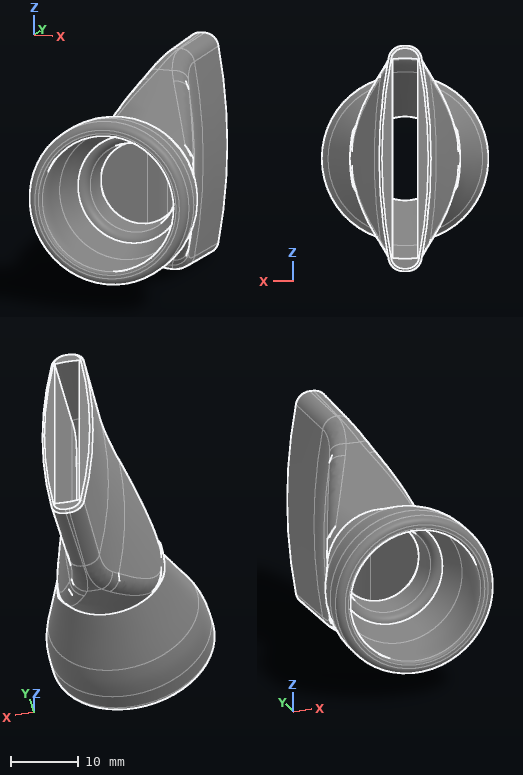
import cadquery as cq
import math

length = 47.2

socket_radius = 12.4
socket_center_y = 3.5
shell_end_y = 8.15
rim_round = 1.15
seat_radius = 10.7
mouth_round = 0.45
seat_end_y = 7.65
throat_start_y = 11.42
throat_start_radius = 8.15
throat_round = 1.4

neck_y = 16.6
neck_radius = 8.2
bore_radius = 6.25

bend_end_y = 35.4
bend_start_y = 28.33
thin_bend_half = 4.65
thin_half = 3.7
tip_thin_half = 3.85
tall_bend_half = 14.82
tall_half = 16.65
tip_tall_half = 16.8
bow_radius = 81.2
edge_round = 2.25
round_start_y = 17.65
tip_chamfer = 0.42
wall = 1.9
slot_half = 1.9


def ball_radius_at(ball_radius, y):
    """Radius of the ball's cross-section at a place along Y."""
    return math.sqrt(ball_radius**2 - (y - socket_center_y) ** 2)


def bend_middle(start, end, start_slope):
    """Middle point of an arc that leaves start with the given slope and reaches end."""
    run = end[1] - start[1]
    rise = end[0] - start[0]
    chord = math.hypot(run, rise)
    turn = math.atan2(rise, run) - math.atan(start_slope)
    sagitta = chord / 2 * math.tan(turn / 2)
    middle_y = (start[1] + end[1]) / 2
    middle_half = (start[0] + end[0]) / 2
    return (middle_half - sagitta * run / chord, middle_y + sagitta * rise / chord)


def flare_profile(axis_x, neck_half, start, end, tip_half):
    """Half outline from the neck to the tip: slanted line, bend, straight run."""
    slope = (start[0] - neck_half) / (start[1] - neck_y)
    return (
        cq.Workplane("XY")
        .moveTo(axis_x, neck_y)
        .lineTo(neck_half, neck_y)
        .lineTo(*start)
        .threePointArc(bend_middle(start, end, slope), end)
        .lineTo(tip_half, length)
        .lineTo(axis_x, length)
        .close()
    )


def turned(profile, axis_x=0.0):
    return profile.revolve(360, (axis_x, 0, 0), (axis_x, 1, 0))


def bowed_side():
    """Body bounded on +X by a broad face that is bowed about an axis parallel to Y."""
    axis_x = tip_thin_half - bow_radius
    bend_start = (thin_bend_half, bend_start_y)
    bend_end = (thin_half, bend_end_y)
    return turned(flare_profile(axis_x, neck_radius, bend_start, bend_end, tip_thin_half), axis_x)


def block_from(y):
    """Large block that starts at a place along Y and reaches past the tip."""
    return cq.Workplane("XY").box(length, length, length).translate((0, y + length / 2, 0))


def nozzle_outside():
    """Turned flare flattened by the bowed faces, with its long edges rounded past the neck."""
    bend_start = (tall_bend_half, bend_start_y)
    bend_end = (tall_half, bend_end_y)
    tall = turned(flare_profile(0, neck_radius, bend_start, bend_end, tip_tall_half))
    side = bowed_side()
    sharp = tall.intersect(side).intersect(side.mirror("YZ"))
    rounded = sharp.intersect(block_from(round_start_y))
    long_edges = [
        edge
        for edge in rounded.edges().vals()
        if edge.BoundingBox().ylen > edge_round and abs(edge.Center().x) > tip_chamfer
    ]
    rounded = rounded.newObject(long_edges).fillet(edge_round)
    rounded = rounded.faces(">Y").edges().chamfer(tip_chamfer)
    return sharp.cut(block_from(round_start_y)).union(rounded)


def nozzle_slot():
    """Flat-sided void that follows the nozzle one wall thickness inside it."""
    bend_start = (tall_bend_half - wall, bend_start_y)
    bend_end = (tall_half - wall, bend_end_y)
    tall = turned(flare_profile(0, bore_radius, bend_start, bend_end, tip_tall_half - wall))
    thin_start = (thin_bend_half - wall, bend_start_y)
    thin_end = (slot_half, bend_end_y)
    half = flare_profile(0, bore_radius, thin_start, thin_end, slot_half).extrude(length, both=True)
    return tall.intersect(half.union(half.mirror("YZ")))


def socket_outside():
    rim_corner = rim_round * (1 - math.sqrt(0.5))
    shell_middle_y = (socket_center_y + shell_end_y) / 2
    return turned(
        cq.Workplane("XY")
        .lineTo(socket_radius - rim_round, 0)
        .threePointArc((socket_radius - rim_corner, rim_corner), (socket_radius, rim_round))
        .lineTo(socket_radius, socket_center_y)
        .threePointArc(
            (ball_radius_at(socket_radius, shell_middle_y), shell_middle_y),
            (ball_radius_at(socket_radius, shell_end_y), shell_end_y),
        )
        .lineTo(neck_radius, neck_y)
        .lineTo(0, neck_y)
        .close()
    )


def socket_inside():
    """Mouth, ball seat with a snap lip, and throat down to the bore."""
    lip_radius = ball_radius_at(seat_radius, mouth_round)
    mouth_corner = mouth_round * (1 - math.sqrt(0.5))
    throat_corner = throat_round * math.sqrt(0.5)
    seat_middle_y = (mouth_round + seat_end_y) / 2
    return turned(
        cq.Workplane("XY")
        .lineTo(lip_radius + mouth_round, 0)
        .threePointArc((lip_radius + mouth_corner, mouth_corner), (lip_radius, mouth_round))
        .threePointArc(
            (ball_radius_at(seat_radius, seat_middle_y), seat_middle_y),
            (ball_radius_at(seat_radius, seat_end_y), seat_end_y),
        )
        .lineTo(throat_start_radius, throat_start_y)
        .threePointArc(
            (throat_start_radius - throat_corner, throat_start_y + throat_round - throat_corner),
            (throat_start_radius - throat_round, throat_start_y + throat_round),
        )
        .lineTo(bore_radius, neck_y)
        .lineTo(0, neck_y)
        .close()
    )


outside = socket_outside().union(nozzle_outside())
result = outside.cut(socket_inside()).cut(nozzle_slot())